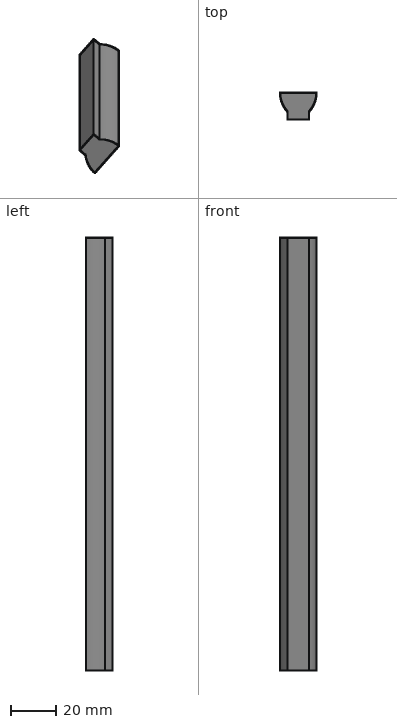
import cadquery as cq
import math

length = 190.5
head_width = 16.2
depth = 11.8

neck_width = 9.5
neck_depth = 3.5

flank_radius = 12.8

back_y = depth / 2
front_y = -depth / 2
shoulder_y = front_y + neck_depth
head_x = head_width / 2
neck_x = neck_width / 2

flank_run = head_x - neck_x
flank_rise = back_y - shoulder_y
chord = math.hypot(flank_run, flank_rise)
bulge = flank_radius - math.sqrt(flank_radius**2 - (chord / 2) ** 2)
flank_mid_x = (head_x + neck_x) / 2 + bulge * flank_rise / chord
flank_mid_y = (back_y + shoulder_y) / 2 - bulge * flank_run / chord

result = (
    cq.Workplane("XY")
    .moveTo(-neck_x, front_y)
    .lineTo(neck_x, front_y)
    .lineTo(neck_x, shoulder_y)
    .threePointArc((flank_mid_x, flank_mid_y), (head_x, back_y))
    .lineTo(-head_x, back_y)
    .threePointArc((-flank_mid_x, flank_mid_y), (-neck_x, shoulder_y))
    .close()
    .extrude(length)
)